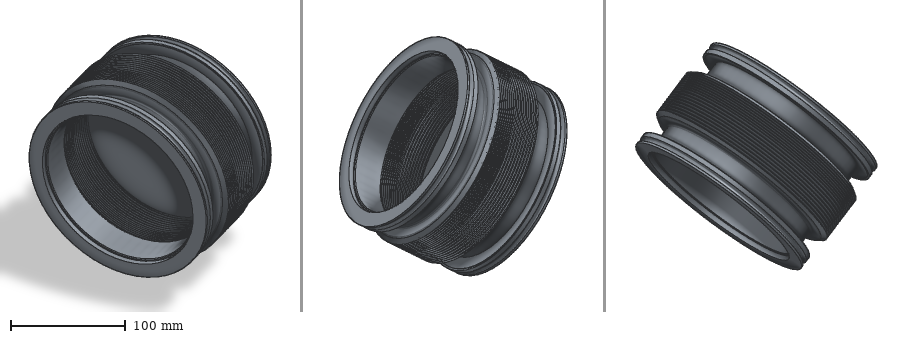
import cadquery as cq

length = 111.0
half_length = length / 2
outer_radius = 185.0 / 2

flange_radius = 180.0 / 2
flange_thickness = 11.7
groove_start = 2.2
groove_stop = 7.0
groove_bottom_radius = 176.0 / 2
flange_rim_width = 1.8
flange_recess_depth = 0.5

mouth_radius = 153.0 / 2
mouth_depth = 4.8
tube_outer_radius = 154.3 / 2
tube_inner_radius = 148.7 / 2
tube_mouth_radius = 150.5 / 2
tube_chamfer_depth = 0.7

ring_face_depth = 30.7
ring_face_radius = 176.0 / 2
ring_fillet = 2.0
ring_bevel_width = 1.3
ring_bevel_height = 0.4
ring_back_taper = 0.7

tight_folds = 8
tight_length = 17.2
open_folds = 9
open_length = 25.5
bellows_end = (tight_length + open_length) / 2
valley_outer_radius = 154.0 / 2
valley_inner_radius = 150.0 / 2
sheet_offset = valley_outer_radius - valley_inner_radius

disc_thickness = 3.7


def revolve_about_y(outline):
    return outline.close().revolve(360, (0, 0), (0, 1))


def flanged_end():
    """Flange, tube and bellows ring of the -Y end."""
    end = -half_length
    groove_middle = end + (groove_start + groove_stop) / 2
    flange_back = end + flange_thickness
    flange_recess = flange_back - flange_recess_depth
    recess_radius = flange_radius - flange_rim_width
    ring_face = end + ring_face_depth
    fillet_sag = ring_fillet * (1 - 0.5 ** 0.5)
    outline = (
        cq.Workplane("XY")
        .moveTo(mouth_radius, end)
        .lineTo(flange_radius, end)
        .lineTo(flange_radius, end + groove_start)
        .threePointArc((groove_bottom_radius, groove_middle), (flange_radius, end + groove_stop))
        .lineTo(flange_radius, flange_back)
        .lineTo(recess_radius, flange_back)
        .lineTo(recess_radius, flange_recess)
        .lineTo(tube_outer_radius, flange_recess)
        .lineTo(tube_outer_radius, ring_face - ring_fillet)
        .threePointArc(
            (tube_outer_radius + fillet_sag, ring_face - fillet_sag),
            (tube_outer_radius + ring_fillet, ring_face),
        )
        .lineTo(ring_face_radius - ring_bevel_width, ring_face)
        .lineTo(ring_face_radius, ring_face + ring_bevel_height)
        .lineTo(outer_radius, -bellows_end)
        .lineTo(outer_radius - sheet_offset, -bellows_end)
        .lineTo(tube_inner_radius, -bellows_end - ring_back_taper)
        .lineTo(tube_inner_radius, end + mouth_depth + tube_chamfer_depth)
        .lineTo(tube_mouth_radius, end + mouth_depth)
        .lineTo(mouth_radius, end + mouth_depth)
    )
    return revolve_about_y(outline)


def bellows():
    """Thin pleated sheet between the two end rings."""
    tight_pitch = tight_length / tight_folds
    open_pitch = open_length / open_folds
    crest = -bellows_end
    outer_line = [(outer_radius, crest)]
    for pitch in [tight_pitch] * tight_folds + [open_pitch] * open_folds:
        outer_line.append((valley_outer_radius, crest + pitch / 2))
        crest += pitch
        outer_line.append((outer_radius, crest))
    inner_line = [(radius - sheet_offset, y) for radius, y in reversed(outer_line)]
    return revolve_about_y(cq.Workplane("XY").polyline(outer_line + inner_line))


def closing_disc():
    """Plain disc across the bore beside the +Y end of the bellows."""
    disc = cq.Workplane("XZ", origin=(0, bellows_end, 0)).circle(tube_outer_radius)
    return disc.extrude(-disc_thickness)


near_end = flanged_end()
far_end = near_end.mirror("XZ")
result = near_end.union(bellows()).union(far_end).union(closing_disc())